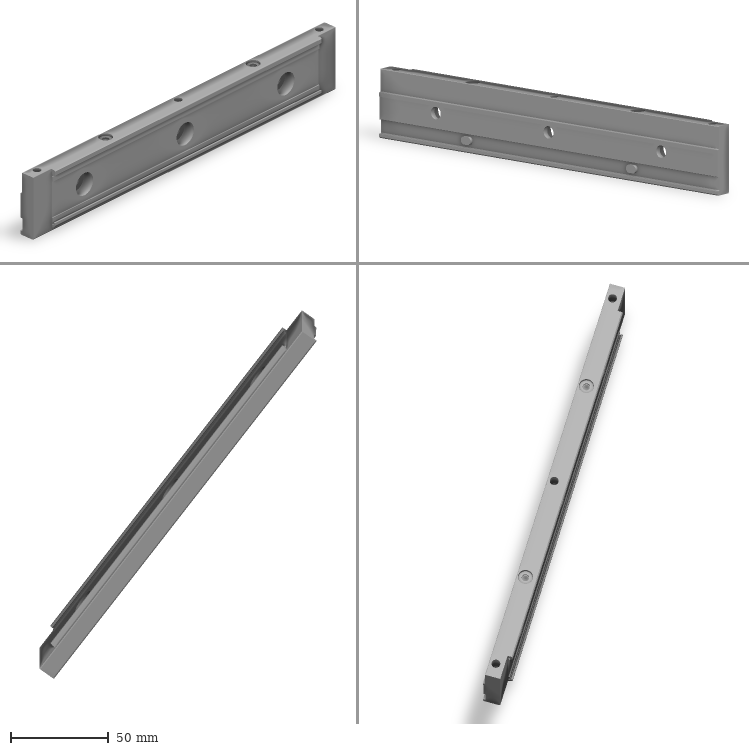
import cadquery as cq
import math

LENGTH = 225.0
HEIGHT = 36.0
DEPTH = 12.0

UPPER_FACE_X = 1.1
MIDDLE_FACE_X = 0.2
GROOVE_FLOOR_X = 1.69
TOP_EDGE_CHAMFER = 0.2
LIP_EDGE_CHAMFER = 0.7
BACK_EDGE_CHAMFER = 0.5
LIP_TOP_Z = 2.2
GROOVE_TOP_Z = 9.7
GROOVE_EDGE_CHAMFER = 0.2
RIDGE_BOTTOM_Z = 21.5
RIDGE_TOP_Z = 23.8
ROOT_BEVEL = 0.5

CORE_BACK_X = 9.2
BACK_FACE_X = 9.7
RAIL_BACK_X = 10.4
END_SETBACK = 13.3
LOWER_RAIL_BOTTOM_Z = 5.6
LOWER_RAIL_TOP_Z = 8.0
UPPER_RAIL_BOTTOM_Z = 29.0
UPPER_RAIL_TOP_Z = 32.0
TOP_HOOK_UNDERSIDE_Z = 33.0
TOP_HOOK_TIP_Z = 32.5
TOP_HOOK_CHAMFER = 0.56
BOTTOM_HOOK_ROOT_Z = 2.2
BOTTOM_HOOK_HEEL_Z = 3.0
BOTTOM_HOOK_NECK_Z = 4.0
BOTTOM_HOOK_TIP_Z = 5.6
HOOK_TIP_X = 11.0
HOOK_INNER_X = 10.5

MOUNT_DIAMETER = 6.5
MOUNT_HEAD_DIAMETER = 12.8
MOUNT_SEAT_X = 3.2
MOUNT_SPACING = 75.0
MOUNT_Z = 18.0

TOP_HOLE_DIAMETER = 4.5
TOP_HOLE_X = 4.7
TOP_HOLE_SPACING = 105.0
TOP_HOLE_DEPTH = 9.0
DRILL_POINT_ANGLE = 118.0

CLAMP_OFFSET = 55.0
CLAMP_PLACES = (-CLAMP_OFFSET, CLAMP_OFFSET)
SCREW_X = 5.6
SCREW_DIAMETER = 7.6
SCREW_TOP_DIAMETER = 7.0
SCREW_LENGTH = 11.2
SCREW_RECESS = 1.1
SOCKET_DIAMETER = 3.8
SOCKET_DEPTH = 1.0
SOCKET_CONE_DIAMETER = 3.0
PIN_DIAMETER = 6.5
PIN_NOSE_HEIGHT = 4.3
PIN_Z = 6.3
PIN_BACK_X = 5.6


def extrude_along_y(points, length):
    """Closed outline in X and Z, extruded evenly to both sides of Y = 0."""
    return cq.Workplane("XZ").polyline(points).close().extrude(length / 2, both=True)


def cone_height(diameter):
    return diameter / 2 / math.tan(math.radians(DRILL_POINT_ANGLE / 2))


def drilled_hole(x, y, top_z, diameter, depth):
    """Tool shape of a blind hole going down from top_z and ending in a drill point."""
    radius = diameter / 2
    outline = [(0, 0), (radius, 0), (radius, -depth), (0, -depth - cone_height(diameter))]
    drill = cq.Workplane("XZ").polyline(outline).close().revolve(360, (0, 0, 0), (0, 1, 0))
    return drill.translate((x, y, top_z))


def plate_core():
    outline = [
        (LIP_EDGE_CHAMFER, 0),
        (CORE_BACK_X - BACK_EDGE_CHAMFER, 0),
        (CORE_BACK_X, BACK_EDGE_CHAMFER),
        (CORE_BACK_X, HEIGHT),
        (UPPER_FACE_X + TOP_EDGE_CHAMFER, HEIGHT),
        (UPPER_FACE_X, HEIGHT - TOP_EDGE_CHAMFER),
        (UPPER_FACE_X, RIDGE_TOP_Z + ROOT_BEVEL),
        (UPPER_FACE_X - ROOT_BEVEL, RIDGE_TOP_Z),
        (0, RIDGE_TOP_Z),
        (0, RIDGE_BOTTOM_Z),
        (MIDDLE_FACE_X, RIDGE_BOTTOM_Z),
        (MIDDLE_FACE_X, GROOVE_TOP_Z + GROOVE_EDGE_CHAMFER),
        (MIDDLE_FACE_X + GROOVE_EDGE_CHAMFER, GROOVE_TOP_Z),
        (GROOVE_FLOOR_X, GROOVE_TOP_Z),
        (GROOVE_FLOOR_X, LIP_TOP_Z + ROOT_BEVEL),
        (GROOVE_FLOOR_X - ROOT_BEVEL, LIP_TOP_Z),
        (0, LIP_TOP_Z),
        (0, LIP_EDGE_CHAMFER),
    ]
    return extrude_along_y(outline, LENGTH)


def plate_back():
    outline = [
        (CORE_BACK_X, BOTTOM_HOOK_ROOT_Z),
        (BACK_FACE_X, BOTTOM_HOOK_ROOT_Z),
        (HOOK_TIP_X, BOTTOM_HOOK_HEEL_Z),
        (DEPTH, BOTTOM_HOOK_NECK_Z),
        (DEPTH, BOTTOM_HOOK_TIP_Z),
        (HOOK_TIP_X, BOTTOM_HOOK_TIP_Z),
        (HOOK_INNER_X, BOTTOM_HOOK_NECK_Z),
        (BACK_FACE_X, BOTTOM_HOOK_NECK_Z),
        (BACK_FACE_X, LOWER_RAIL_BOTTOM_Z),
        (RAIL_BACK_X, LOWER_RAIL_BOTTOM_Z),
        (RAIL_BACK_X, LOWER_RAIL_TOP_Z),
        (BACK_FACE_X, LOWER_RAIL_TOP_Z),
        (BACK_FACE_X, UPPER_RAIL_BOTTOM_Z),
        (RAIL_BACK_X, UPPER_RAIL_BOTTOM_Z),
        (RAIL_BACK_X, UPPER_RAIL_TOP_Z),
        (BACK_FACE_X, UPPER_RAIL_TOP_Z),
        (BACK_FACE_X, TOP_HOOK_UNDERSIDE_Z),
        (HOOK_INNER_X, TOP_HOOK_UNDERSIDE_Z),
        (HOOK_TIP_X, TOP_HOOK_TIP_Z),
        (DEPTH, TOP_HOOK_UNDERSIDE_Z),
        (DEPTH, HEIGHT - TOP_HOOK_CHAMFER),
        (DEPTH - TOP_HOOK_CHAMFER, HEIGHT),
        (CORE_BACK_X, HEIGHT),
    ]
    return extrude_along_y(outline, LENGTH - 2 * END_SETBACK)


def mounting_hole(y):
    """Tool shape of a through hole with a counterbore in the back."""
    hole = cq.Workplane("YZ", origin=(0, y, MOUNT_Z)).circle(MOUNT_DIAMETER / 2).extrude(DEPTH)
    head_seat = cq.Workplane("YZ", origin=(MOUNT_SEAT_X, y, MOUNT_Z)).circle(MOUNT_HEAD_DIAMETER / 2)
    return hole.union(head_seat.extrude(DEPTH - MOUNT_SEAT_X))


def screw_bore(y):
    bore = cq.Workplane("XY", origin=(SCREW_X, y, HEIGHT)).circle(SCREW_DIAMETER / 2)
    return bore.extrude(-SCREW_RECESS - SCREW_LENGTH)


def pin_bore(y):
    bore = cq.Workplane("YZ", origin=(0, y, PIN_Z)).circle(PIN_DIAMETER / 2)
    return bore.extrude(PIN_BACK_X)


def make_plate():
    plate = plate_core().union(plate_back())
    for y in (-MOUNT_SPACING, 0, MOUNT_SPACING):
        plate = plate.cut(mounting_hole(y))
    for y in (-TOP_HOLE_SPACING, 0, TOP_HOLE_SPACING):
        plate = plate.cut(drilled_hole(TOP_HOLE_X, y, HEIGHT, TOP_HOLE_DIAMETER, TOP_HOLE_DEPTH))
    for y in CLAMP_PLACES:
        plate = plate.cut(screw_bore(y)).cut(pin_bore(y))
    return plate


def make_set_screw(y):
    """Set screw with a chamfered top and a round socket that ends in a drill point."""
    top = HEIGHT - SCREW_RECESS
    body = cq.Workplane("XY", origin=(SCREW_X, y, top)).circle(SCREW_DIAMETER / 2)
    body = body.extrude(-SCREW_LENGTH).faces(">Z").chamfer((SCREW_DIAMETER - SCREW_TOP_DIAMETER) / 2)
    socket = cq.Workplane("XY", origin=(SCREW_X, y, top)).circle(SOCKET_DIAMETER / 2)
    socket = socket.extrude(-SOCKET_DEPTH)
    return body.cut(socket).cut(drilled_hole(SCREW_X, y, top, SOCKET_CONE_DIAMETER, SOCKET_DEPTH))


def make_pin(y):
    """Round pin with a flat oval nose standing in the groove."""
    shank = cq.Workplane("YZ", origin=(GROOVE_FLOOR_X, y, PIN_Z)).circle(PIN_DIAMETER / 2)
    shank = shank.extrude(PIN_BACK_X - GROOVE_FLOOR_X)
    nose = cq.Workplane("YZ", origin=(0, y, PIN_Z)).slot2D(PIN_DIAMETER, PIN_NOSE_HEIGHT)
    return shank.union(nose.extrude(GROOVE_FLOOR_X))


plate = make_plate()
screws = [make_set_screw(y) for y in CLAMP_PLACES]
pins = [make_pin(y) for y in CLAMP_PLACES]

result = cq.Compound.makeCompound(
    [
        plate.val(),
        *[screw.val() for screw in screws],
        *[pin.val() for pin in pins],
    ]
)